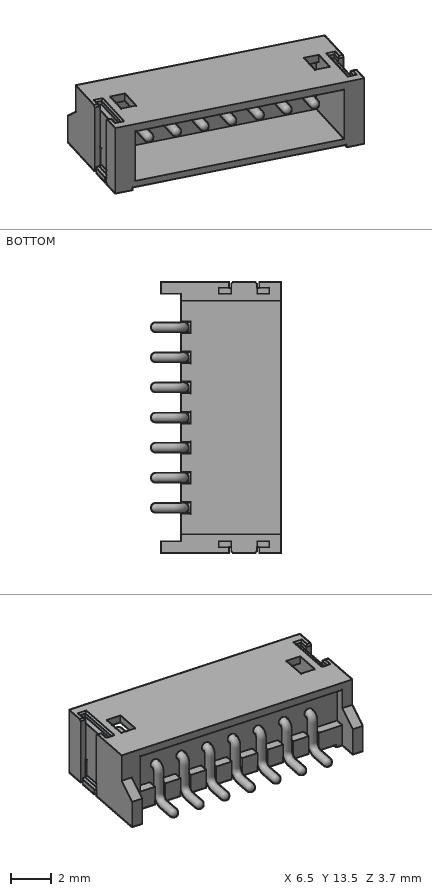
import cadquery as cq
import math


body_depth = 5.0
body_length = 13.5
body_height = 3.7
half_length = body_length / 2
end_wall = 1.1
roof_thickness = 0.42
ceiling_z = body_height - roof_thickness

cavity_back_x = 1.5
cavity_floor_z = 0.5
cavity_half_length = half_length - end_wall

ear_reach = 1.0
ear_thickness = 0.6
ear_front_height = 1.5
ear_rear_height = 2.2

recess_depth = 0.5
recess_floor_z = 1.2
recess_y_min = -half_length + ear_thickness
recess_y_max = half_length - end_wall
groove_width = 0.6

foot_width = 0.95
foot_height = 0.15

window_x_min = 1.8
window_length = 1.4
window_width = 0.81

tab_center_x = 3.15
slot_length = 2.5
slot_near_y = 0.3
slot_far_y = 0.6
notch_length = 1.5
lead_in = 0.1
tab_drop = 0.3
tab_neck_length = 1.3
tab_neck_height = 1.3
tab_foot_height = 0.3
tab_foot_bevel = 0.1
tab_top_z = body_height - tab_drop

pin_count = 7
pin_pitch = 1.5
pin_radius = 0.5 / 2
pin_tail_x = -1.5
pin_leg_x = 0.15
pin_contact_z = 2.21
pin_contact_x = 4.2
lower_bend = 0.5
upper_bend = 0.27

pin_positions = [(i - (pin_count - 1) / 2) * pin_pitch for i in range(pin_count)]


def box_between(x_range, y_range, z_range):
    """Axis-aligned box given by its lower and upper limits."""
    limits = (x_range, y_range, z_range)
    sizes = [high - low for low, high in limits]
    corner = tuple(low for low, high in limits)
    return cq.Workplane("XY").box(*sizes, centered=False).translate(corner)


def centered_range(center, length):
    return center - length / 2, center + length / 2


def both_ends(solid):
    """The -Y solid together with its mirror image at the +Y end."""
    return solid.union(solid.mirror("XZ"))


def make_ear():
    """Rear ear at the -Y end, with a sloped upper edge."""
    outline = [
        (0, 0),
        (-ear_reach, 0),
        (-ear_reach, ear_front_height),
        (0, ear_rear_height),
    ]
    ear = cq.Workplane("XZ").polyline(outline).close().extrude(-ear_thickness)
    return ear.translate((0, -half_length, 0))


def make_window():
    """Rectangular opening through the roof, against the -Y cavity wall."""
    return box_between(
        (window_x_min, window_x_min + window_length),
        (-cavity_half_length, -cavity_half_length + window_width),
        (cavity_floor_z, body_height),
    )


def slot_outline(z, growth):
    """T-shaped slot outline of the -Y end at height z, every side moved outward by growth."""
    slot_min, slot_max = centered_range(tab_center_x, slot_length + 2 * growth)
    notch_min, notch_max = centered_range(tab_center_x, notch_length + 2 * growth)
    outer_y = -half_length - lead_in
    near_y = -half_length + slot_near_y - growth
    far_y = -half_length + slot_far_y + growth
    points = [
        (notch_min, outer_y),
        (notch_max, outer_y),
        (notch_max, near_y),
        (slot_max, near_y),
        (slot_max, far_y),
        (slot_min, far_y),
        (slot_min, near_y),
        (notch_min, near_y),
    ]
    return cq.Wire.makePolygon([cq.Vector(x, y, z) for x, y in points], close=True)


def make_tab_cut():
    """Empty space around the solder tab at the -Y end: slot mouth, notch and neck gaps."""
    near_y = -half_length + slot_near_y
    far_y = -half_length + slot_far_y
    slot_min, slot_max = centered_range(tab_center_x, slot_length)
    neck_min, neck_max = centered_range(tab_center_x, tab_neck_length)

    lead_in_z = body_height - lead_in
    mouth = cq.Solid.makeLoft([slot_outline(tab_top_z, 0), slot_outline(lead_in_z, 0)], True)
    flare = cq.Solid.makeLoft([slot_outline(lead_in_z, 0), slot_outline(body_height, lead_in)], True)
    notch = box_between(
        centered_range(tab_center_x, notch_length),
        (-half_length - lead_in, near_y),
        (0, body_height),
    )
    cut = notch.union(cq.Workplane(mouth)).union(cq.Workplane(flare))
    for gap in ((slot_min, neck_min), (neck_max, slot_max)):
        cut = cut.union(box_between(gap, (near_y, far_y), (0, tab_neck_height)))
    return cut


def make_tab_foot():
    """Bent-out foot of the -Y solder tab, with a sloped root and bevelled outer corners."""
    near_y = -half_length + slot_near_y
    slope_start_y = near_y - tab_foot_bevel
    profile = [
        (-half_length, 0),
        (near_y, 0),
        (near_y, tab_foot_height + tab_foot_bevel),
        (slope_start_y, tab_foot_height),
        (-half_length, tab_foot_height),
    ]
    neck_min, _ = centered_range(tab_center_x, tab_neck_length)
    foot = cq.Workplane("YZ", origin=(neck_min, 0, 0)).polyline(profile).close().extrude(tab_neck_length)
    return foot.faces("<Y").edges("|Z").chamfer(tab_foot_bevel)


def make_housing():
    housing = box_between((0, body_depth), (-half_length, half_length), (0, body_height))
    underside_half = half_length - foot_width
    relief = box_between((0, body_depth), (-underside_half, underside_half), (0, foot_height))
    cavity = box_between(
        (cavity_back_x, body_depth),
        (-cavity_half_length, cavity_half_length),
        (cavity_floor_z, ceiling_z),
    )
    recess = box_between((0, recess_depth), (recess_y_min, recess_y_max), (recess_floor_z, ceiling_z))
    housing = housing.cut(relief).cut(cavity).cut(recess)
    for y in pin_positions:
        groove = box_between((0, recess_depth), centered_range(y, groove_width), (0, recess_floor_z))
        housing = housing.cut(groove)
    housing = housing.cut(both_ends(make_window())).cut(both_ends(make_tab_cut()))
    return housing.union(both_ends(make_ear())).union(both_ends(make_tab_foot()))


def make_pin():
    """Round pin at Y = 0: tail on the seating plane, upright leg, contact through the back wall."""
    tail_start = pin_tail_x + pin_radius
    tail_end = pin_leg_x - lower_bend
    leg_bottom = pin_radius + lower_bend
    leg_top = pin_contact_z - upper_bend
    contact_start = pin_leg_x + upper_bend
    contact_end = pin_contact_x - pin_radius

    def rod_x(x_min, x_max, z):
        return cq.Workplane("YZ", origin=(x_min, 0, z)).circle(pin_radius).extrude(x_max - x_min)

    def round_tip(x, z, direction):
        """Hemisphere centred at x and z, pointing along X in the given direction (-1 or +1)."""
        diagonal = pin_radius * math.sqrt(0.5)
        half_profile = (
            cq.Workplane("XZ", origin=(x, 0, z))
            .lineTo(direction * pin_radius, 0)
            .threePointArc((direction * diagonal, diagonal), (0, pin_radius))
            .close()
        )
        return half_profile.revolve(360, (0, 0, 0), (1, 0, 0))

    def bend(radius, axis_side, start_z):
        """Quarter bend starting on the leg; axis_side is -1 or +1 along X."""
        section = cq.Workplane("XY", origin=(pin_leg_x, 0, start_z)).circle(pin_radius)
        axis_x = axis_side * radius
        return section.revolve(90, (axis_x, -0.14, 0), (axis_x, 0.14, 0))

    leg = cq.Workplane("XY", origin=(pin_leg_x, 0, leg_bottom)).circle(pin_radius)
    pin = leg.extrude(leg_top - leg_bottom)
    pin = pin.union(bend(lower_bend, -1, leg_bottom))
    pin = pin.union(bend(upper_bend, 1, leg_top))
    pin = pin.union(rod_x(tail_start, tail_end, pin_radius)).union(round_tip(tail_start, pin_radius, -1))
    pin = pin.union(rod_x(contact_start, contact_end, pin_contact_z))
    return pin.union(round_tip(contact_end, pin_contact_z, 1))


result = make_housing()
pin = make_pin()
for y in pin_positions:
    result = result.union(pin.translate((0, y, 0)))